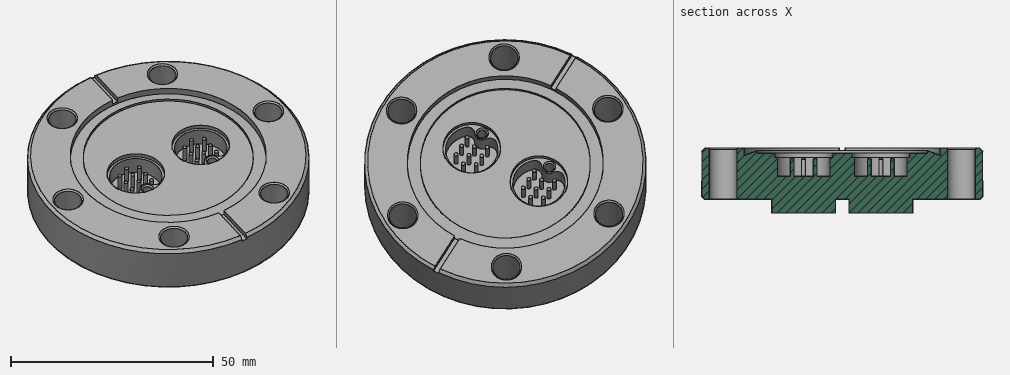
import cadquery as cq
import math

flange_radius = 34.7
flange_thickness = 12.7
rim_chamfer = 0.75

bolt_count = 6
bolt_circle_radius = 29.3
first_bolt_angle = 90
bolt_hole_diameter = 6.7
bolt_hole_mouth_diameter = 7.5

recess_radius = 24.1
knife_edge_radius = 20.95
recess_depth = 1.8
knife_edge_depth = 0.6
centre_depth = 1.25

groove_width = 1.45
groove_depth = 1.25

socket_offset = 9.5
boss_diameter = 15.75
boss_height = 3.3
socket_mouth_radius = 14.15 / 2
socket_ledge_depth = 2.3
cavity_radius = 6.45
cavity_depth = 6.9

key_offset = 5.3
key_radius = 1.9
key_fillet = 1.7
key_hole_diameter = 2.3
key_hole_mouth_diameter = 3.05

pin_diameter = 1.0
pin_top_depth = 2.5
pin_dome_height = 0.35
pin_pitch = 2.8
pin_row_spacing = 2.85
outer_row_columns = (-1.0, 0.0, 1.0)
middle_row_columns = (-1.5, -0.5, 0.5)

cavity_floor = flange_thickness - cavity_depth
ledge_level = flange_thickness - socket_ledge_depth


def cylinder(radius, bottom, top, x=0.0, y=0.0):
    """Upright cylinder between two heights."""
    return cq.Workplane("XY", origin=(x, y, bottom)).circle(radius).extrude(top - bottom)


def countersunk_hole(diameter, mouth_diameter, bottom, top, x, y):
    """Cutter for a hole whose upper edge has a 45 degree chamfer."""
    chamfer = (mouth_diameter - diameter) / 2
    bore = cylinder(diameter / 2, bottom, top, x, y)
    mouth = (
        cq.Workplane("XY", origin=(x, y, top))
        .circle(mouth_diameter / 2)
        .workplane(offset=-chamfer)
        .circle(diameter / 2)
        .loft()
    )
    return bore.union(mouth)


def flange_body():
    return cylinder(flange_radius, 0, flange_thickness).edges().chamfer(rim_chamfer)


def recess_cutter():
    """Turned profile (radius, height) of the sealing recess."""
    profile = [
        (0, flange_thickness),
        (recess_radius, flange_thickness),
        (recess_radius, flange_thickness - recess_depth),
        (knife_edge_radius, flange_thickness - knife_edge_depth),
        (knife_edge_radius, flange_thickness - centre_depth),
        (0, flange_thickness - centre_depth),
    ]
    return cq.Workplane("XZ").polyline(profile).close().revolve(360, (0, 0), (0, 1))


def groove_cutter():
    groove = cq.Workplane("XY").box(2 * flange_radius, groove_width, groove_depth)
    groove = groove.translate((0, 0, flange_thickness - groove_depth / 2))
    return groove.cut(cylinder(recess_radius, 0, flange_thickness))


def socket_cutter():
    """Wide mouth above a keyed cavity, centred on the Z axis."""
    mouth = cylinder(socket_mouth_radius, ledge_level, flange_thickness)
    key = cylinder(key_radius, cavity_floor, ledge_level, x=key_offset)
    cavity = cylinder(cavity_radius, cavity_floor, ledge_level).cut(key)
    corner_x = (key_offset**2 + cavity_radius**2 - key_radius**2) / (2 * key_offset)
    corner_y = math.sqrt(cavity_radius**2 - corner_x**2)
    middle = (cavity_floor + ledge_level) / 2
    for side in (-1, 1):
        corner = cq.selectors.NearestToPointSelector((corner_x, side * corner_y, middle))
        cavity = cavity.edges("|Z").edges(corner).fillet(key_fillet)
    key_hole = countersunk_hole(
        key_hole_diameter, key_hole_mouth_diameter, cavity_floor, ledge_level, key_offset, 0
    )
    return mouth.union(cavity).union(key_hole)


def contact_pins():
    """Three rows of domed pins rising from the cavity floor."""
    pin_radius = pin_diameter / 2
    pin_top = flange_thickness - pin_top_depth
    dome_base = pin_top - pin_dome_height
    dome_radius = (pin_radius**2 + pin_dome_height**2) / (2 * pin_dome_height)
    dome = cq.Workplane("XY").sphere(dome_radius).translate((0, 0, pin_top - dome_radius))
    pin = cylinder(pin_radius, cavity_floor, dome_base)
    pin = pin.union(dome.intersect(cylinder(pin_radius, dome_base, pin_top)))
    rows = (
        (pin_row_spacing, outer_row_columns),
        (0, middle_row_columns),
        (-pin_row_spacing, outer_row_columns),
    )
    points = [(column * pin_pitch, y, 0) for y, columns in rows for column in columns]
    return [pin.translate(point) for point in points]


result = flange_body().cut(recess_cutter()).cut(groove_cutter())

for i in range(bolt_count):
    angle = math.radians(first_bolt_angle + i * 360 / bolt_count)
    bolt_x = bolt_circle_radius * math.cos(angle)
    bolt_y = bolt_circle_radius * math.sin(angle)
    result = result.cut(
        countersunk_hole(
            bolt_hole_diameter, bolt_hole_mouth_diameter, 0, flange_thickness, bolt_x, bolt_y
        )
    )

for socket_y in (-socket_offset, socket_offset):
    boss = cylinder(boss_diameter / 2, -boss_height, cavity_floor, y=socket_y)
    shift = (0, socket_y, 0)
    result = result.union(boss).cut(socket_cutter().translate(shift))
    for pin in contact_pins():
        result = result.union(pin.translate(shift))